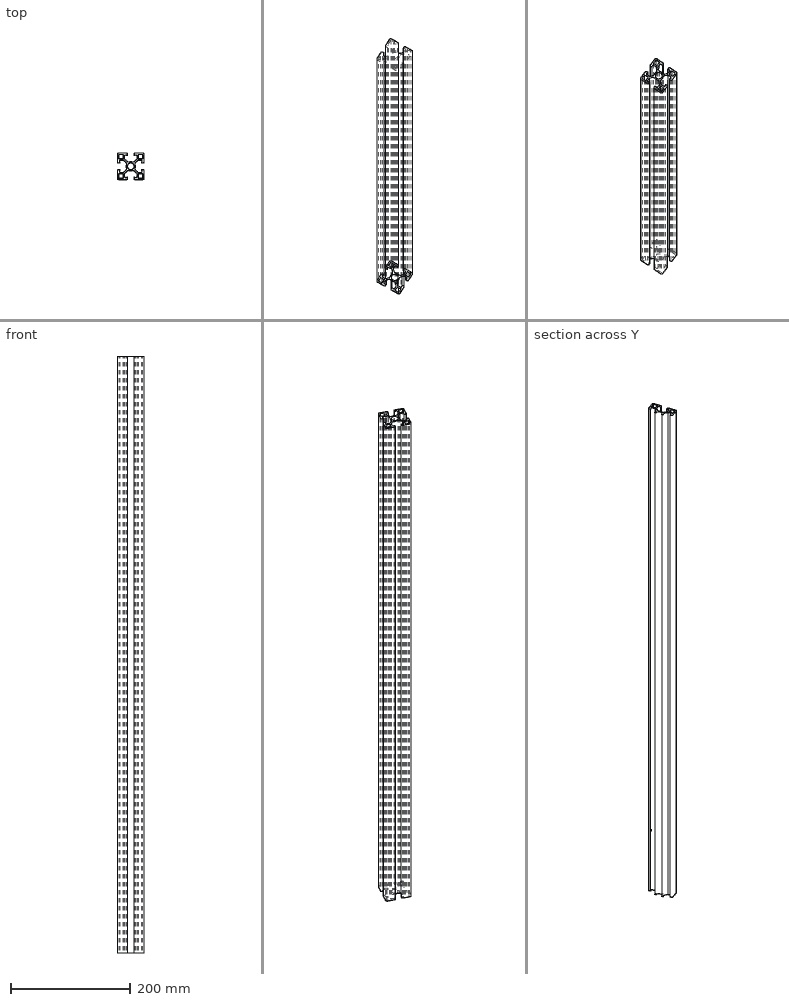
import cadquery as cq
import math

side = 45.0
length = 1000.0
corner_radius = 2.5

slot_width = 11.0
mouth_radius = 1.75
lip_thickness = 4.5
lip_slope_deg = 15.0
cavity_width = 20.2
cavity_corner_radius = 1.5

core_radius = 7.75
bore_radius = 5.5
web_thickness = 2.83
web_root_radius = 4.5

hollow_size = 7.0
hollow_inner_edge = 12.8

half = side / 2
slot_half = slot_width / 2
cavity_half = cavity_width / 2
lip_depth = half - lip_thickness
cavity_roof = lip_depth + (cavity_half - slot_half) * math.tan(math.radians(lip_slope_deg))

web_offset = web_thickness / math.sqrt(2)
web_root_x = (math.sqrt(2 * core_radius**2 - web_offset**2) - web_offset) / 2
web_root_y = web_root_x + web_offset


def round_edges(body, points, radius):
    """Fillet the Z-direction edges standing on the given XY points."""
    edges = body.edges("|Z")
    picked = cq.Workplane("XY")
    for x, y in points:
        picked = picked.add(edges.edges(cq.NearestToPointSelector((x, y, length / 2))).vals())
    solid = body.val().fillet(radius, picked.vals())
    return cq.Workplane("XY").newObject([solid])


def four_sides(x, y):
    """A point near the +Y side, its mirror image in X, and both turned onto all four sides."""
    return [p for m in (x, -x) for p in ((m, y), (-y, m), (-m, -y), (y, -m))]


def four_corners(distance):
    """The four points on the diagonals with this absolute X and Y."""
    return [(sx * distance, sy * distance) for sx in (1, -1) for sy in (1, -1)]


def make_slot():
    """Solid filling the +Y T-slot, down to the point where the two web faces meet."""
    right = [
        (slot_half, half),
        (slot_half, lip_depth),
        (cavity_half, cavity_roof),
        (cavity_half, cavity_half + web_offset),
    ]
    left = [(-x, y) for x, y in reversed(right)]
    slot = cq.Workplane("XY").polyline(right + [(0, web_offset)] + left).close().extrude(length)
    roof_corners = [(cavity_half, cavity_roof), (-cavity_half, cavity_roof)]
    return round_edges(slot, roof_corners, cavity_corner_radius)


def make_profile():
    body = cq.Workplane("XY").rect(side, side).extrude(length)
    slot = make_slot()
    for quarter in range(4):
        body = body.cut(slot.rotate((0, 0, 0), (0, 0, 1), 90 * quarter))
    body = round_edges(body, four_corners(half), corner_radius)
    return round_edges(body, four_sides(slot_half, half), mouth_radius)


def add_core(body):
    core = cq.Workplane("XY").circle(core_radius).extrude(length)
    body = round_edges(body.union(core), four_sides(web_root_x, web_root_y), web_root_radius)
    bore = cq.Workplane("XY").circle(bore_radius).extrude(length)
    return body.cut(bore)


def cut_corner_hollows(body):
    centres = four_corners(hollow_inner_edge + hollow_size / 2)
    hollows = cq.Workplane("XY").pushPoints(centres).rect(hollow_size, hollow_size).extrude(length)
    return body.cut(hollows)


result = cut_corner_hollows(add_core(make_profile()))